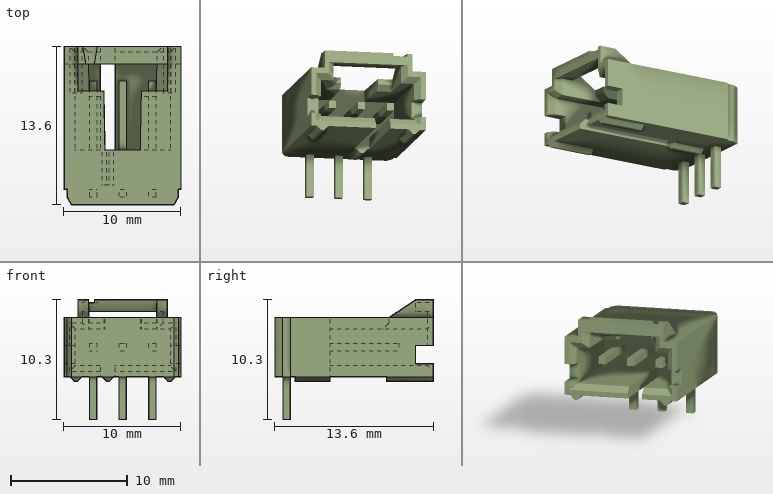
import cadquery as cq


length = 13.59
width = 10.03
height = 5.08
rear_inset = 0.25
rear_inset_length = 1.33
rear_chamfer_x = 0.38
rear_chamfer_y = 0.6
chamfer_edge_break = 0.04

wall = 0.94
floor_thickness = 0.95
ceiling = 4.1
cavity_back = 4.72
lead_in = 0.5
cavity_width = width - 2 * wall
cavity_height = ceiling - floor_thickness
cavity_mid_z = (ceiling + floor_thickness) / 2

window_front = 9.78
window_half_width_mouth = 2.95
window_half_width_back = 2.88
neck_half_width_front = 1.6
neck_half_width_back = 1.51

latch_width = 7.66
latch_height = 1.52
latch_top = height + latch_height
bridge_front = 12.07
bridge_thickness = 1.02

mark_x = -2.8
mark_depth = 0.25
mark_half_width_mouth = 0.63
mark_half_width_front = 0.37

notch_bottom = 1.13
notch_top = 2.68

slot_x = -1.28
slot_width = 1.28

pin_pitch = 2.54
pin_count = 3
pin_size = 0.64
pin_tail = 3.67
pin_tip_y = 10.63
pin_rear_y = 0.69
pin_top = cavity_mid_z + pin_size / 2

rib_width = 1.0
rib_tip_width = 0.25
rib_height = 0.4
outer_rib_x = 4.01
outer_rib_start = 9.58
inner_rib_start = 1.73


def box(x_range, y_range, z_range):
    """Box spanning the given (low, high) pairs."""
    spans = [high - low for low, high in (x_range, y_range, z_range)]
    corner = (x_range[0], y_range[0], z_range[0])
    return cq.Workplane("XY").box(*spans, centered=False).translate(corner)


def centred_range(centre, size):
    return (centre - size / 2, centre + size / 2)


def mirrored_prism(right_side, bottom, top):
    """Vertical prism whose plan is the given right-hand outline and its mirror image."""
    left_side = [(-x, y) for x, y in reversed(right_side)]
    plan = cq.Workplane("XY").workplane(offset=bottom).polyline(right_side + left_side).close()
    return plan.extrude(top - bottom)


def make_housing():
    side = width / 2
    rear_side = side - rear_inset
    outline = [
        (rear_side - rear_chamfer_x, 0),
        (rear_side - chamfer_edge_break, rear_chamfer_y),
        (rear_side, rear_chamfer_y + chamfer_edge_break),
        (rear_side, rear_inset_length),
        (side, rear_inset_length),
        (side, length),
    ]
    return mirrored_prism(outline, 0, height)


def make_latch():
    profile = [
        (window_front, height),
        (bridge_front, latch_top),
        (length, latch_top),
        (length, height),
    ]
    return cq.Workplane("YZ").polyline(profile).close().extrude(latch_width / 2, both=True)


def make_cavity():
    """Rectangular cavity with a 45 degree lead-in around its mouth."""
    cavity = box(
        centred_range(0, cavity_width),
        (cavity_back, length),
        (floor_thickness, ceiling),
    )
    mouth = (
        cq.Workplane("XZ", origin=(0, length, cavity_mid_z))
        .rect(cavity_width + 2 * lead_in, cavity_height + 2 * lead_in)
        .extrude(lead_in, taper=45)
    )
    return cavity.union(mouth)


def make_window():
    """Opening from the cavity up between the latch arms, leaving the bridge in place."""
    outline = [
        (neck_half_width_back, cavity_back),
        (neck_half_width_front, window_front),
        (window_half_width_back, window_front),
        (window_half_width_mouth, length - lead_in),
        (window_half_width_mouth + lead_in, length),
    ]
    opening = mirrored_prism(outline, cavity_mid_z, latch_top)
    bridge = box(
        centred_range(0, latch_width),
        (bridge_front, length),
        (latch_top - bridge_thickness, latch_top),
    )
    return opening.cut(bridge)


def make_window_lead_in():
    """45 degree lead-in under the top wall, along the front edges beside the neck."""
    profile = [
        (window_front, ceiling),
        (window_front, ceiling + lead_in),
        (window_front - lead_in, ceiling),
    ]
    return cq.Workplane("YZ").polyline(profile).close().extrude(window_half_width_back, both=True)


def make_mark():
    outline = [(mark_half_width_front, bridge_front), (mark_half_width_mouth, length)]
    return mirrored_prism(outline, latch_top - mark_depth, latch_top).translate((mark_x, 0, 0))


def make_pin(x):
    """Right-angle pin: a vertical tail and a horizontal blade reaching into the cavity."""
    x_range = centred_range(x, pin_size)
    tail = box(x_range, (pin_rear_y, pin_rear_y + pin_size), (-pin_tail, pin_top))
    blade = box(x_range, (pin_rear_y, pin_tip_y), (pin_top - pin_size, pin_top))
    return tail.union(blade)


def make_rib(x, start, end):
    profile = [
        (x - rib_width / 2, 0),
        (x + rib_width / 2, 0),
        (x + rib_tip_width / 2, -rib_height),
        (x - rib_tip_width / 2, -rib_height),
    ]
    return cq.Workplane("XZ", origin=(0, end, 0)).polyline(profile).close().extrude(end - start)


result = make_housing().union(make_latch())
result = result.cut(make_cavity()).cut(make_window()).cut(make_window_lead_in()).cut(make_mark())

side_notches = box(centred_range(0, width), (bridge_front, length), (notch_bottom, notch_top))
result = result.cut(side_notches)

polarising_slot = box(centred_range(slot_x, slot_width), (cavity_back, length), (0, floor_thickness))
result = result.cut(polarising_slot)

for index in range(pin_count):
    result = result.union(make_pin((index - (pin_count - 1) / 2) * pin_pitch))

for rib_x in (-outer_rib_x, outer_rib_x):
    result = result.union(make_rib(rib_x, outer_rib_start, length))
result = result.union(make_rib(slot_x, inner_rib_start, cavity_back))